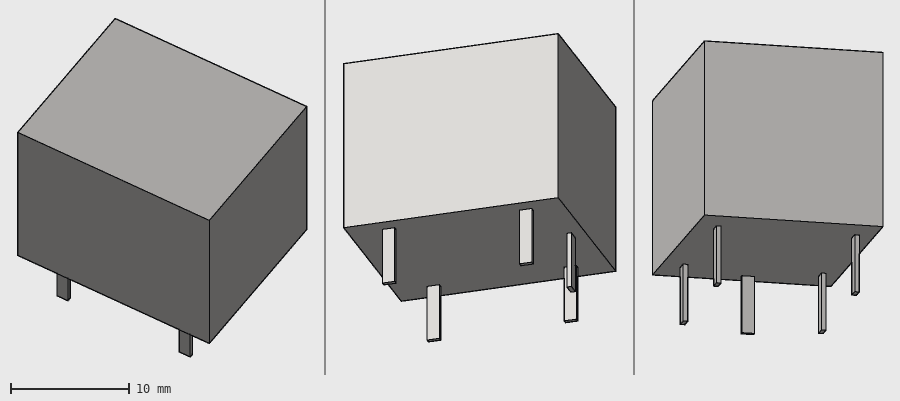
import cadquery as cq

HOUSING_LENGTH = 19.1
HOUSING_WIDTH = 15.5
HOUSING_HEIGHT = 15.3

PIN_LENGTH = 5.0
PIN_WIDTH = 1.1
PIN_THICKNESS = 0.4

ROW_CENTER_Y = 0.2
ROW_SPACING = 12.0
SIDE_PIN_SPACING = 12.2
END_PIN_OFFSET = 2.0
FIRST_SIDE_PIN_X = -6.2
SIDE_PIN_XS = (FIRST_SIDE_PIN_X, FIRST_SIDE_PIN_X + SIDE_PIN_SPACING)
ROW_YS = (ROW_CENTER_Y - ROW_SPACING / 2, ROW_CENTER_Y + ROW_SPACING / 2)
END_PIN_X = FIRST_SIDE_PIN_X - END_PIN_OFFSET


def make_housing():
    """Solid block with its underside at Z = 0."""
    return cq.Workplane("XY").box(
        HOUSING_LENGTH, HOUSING_WIDTH, HOUSING_HEIGHT, centered=(True, True, False)
    )


def make_pin(x, y, size_x, size_y):
    """Flat pin centred on (x, y), running down from the housing underside."""
    return cq.Workplane("XY").center(x, y).rect(size_x, size_y).extrude(-PIN_LENGTH)


housing = make_housing()

side_pins = [make_pin(x, y, PIN_WIDTH, PIN_THICKNESS) for x in SIDE_PIN_XS for y in ROW_YS]
end_pin = make_pin(END_PIN_X, ROW_CENTER_Y, PIN_THICKNESS, PIN_WIDTH)

result = cq.Compound.makeCompound(
    [housing.val(), end_pin.val(), *[pin.val() for pin in side_pins]]
)